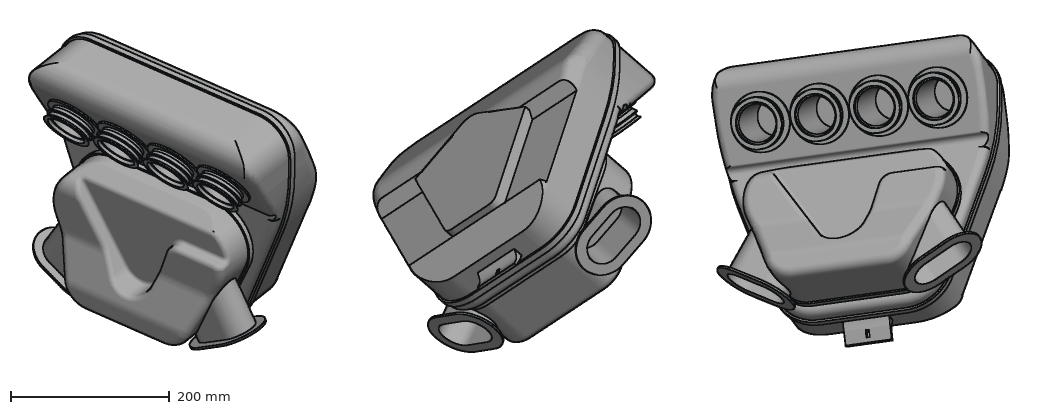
import cadquery as cq
import math


joint_overlap = 5

body_half_width = 178.5
body_top = 368.9
body_bottom = 28.4
top_corner_radius = 46
bottom_corner_radius = 60
side_bend_top = 295
side_bend_bottom = 200.6
side_taper = 20
body_front = -22.8
body_back = 74.0
front_face_tilt = 30
back_face_tilt = 25
back_slope_bottom = 254
bulge_foot = 230
bulge_underside = 245
bulge_nose_radius = 26
bulge_lower_radius = 3
bulge_inner_radius = 7
back_top_radius = 20
back_bend_radius = 60
back_recess = 57.5
back_recess_top = 205
back_recess_slope_top = 220
back_lip_top = 67
back_lip_y = 66
back_bottom_y = 40
front_edge_radius = 10
back_edge_radius = 20

band_overhang = 3
band_thickness = 8.8

pad_back = 74.6
pad_half_width = 92
pad_apex = 264
pad_roof_slope = 31
pad_front = 40
pad_bottom = 70
pad_apex_radius = 27
pad_corner_radius = 13.6

spigot_count = 4
spigot_pitch = 78.2
spigot_center_y = -58.5
spigot_center_z = 289.3
spigot_length = 21.4
spigot_collar_radius = 77 / 2
spigot_collar_thickness = 2.6
spigot_neck_radius = 59.8 / 2
spigot_rim_radius = 66.2 / 2
spigot_ring_position = 11.8
spigot_ring_thickness = 1.2
spigot_rim_taper = 3.5
spigot_mouth_radius = 54 / 2
spigot_mouth_depth = 5.3
spigot_bore_radius = 48.7 / 2
spigot_bore_depth = 95

cover_top = 226.6
cover_bottom = 42
cover_corner_x = 77
cover_top_radius = 57
cover_bottom_radius = 37
cover_side_taper = 22.5
cover_front = -89
cover_chin_front = -113.6
cover_chin_top = 74
cover_chin_start = 129.4
cover_brow_y = -46.8
cover_brow_slope = 30
cover_brow_radius = 26
cover_bend_radius = 28
cover_edge_radius = 11
cover_foot_overhang = 2.4
cover_foot_front = -30.5

pocket_floor = -71.5
pocket_tip = (9.3, 46.7)
pocket_left_angle = 33.3
pocket_right_angle = 17.4
pocket_ledge = 180
pocket_run_out_x = 200
pocket_run_out_z = 260
pocket_front = -130
pocket_tip_radius = 32
pocket_ledge_radius = 20
pocket_edge_radius = 5
pocket_rim_radius = 7

pipe_axis_tilt = 30
pipe_center = (124, -58.7, 56.5)
pipe_width = 88
pipe_depth = 50.7
pipe_length = 80
pipe_wall = 2.3
pipe_bore_depth = 62
pipe_flange_overhang = 12.6
pipe_flange_thickness = 3

tab_width = 61.2
tab_slot_width = 4.2
tab_slot_bottom = 6.2
tab_slot_top = 14.8
tab_slot_run = 100


def tan(degrees):
    return math.tan(math.radians(degrees))


def sin(degrees):
    return math.sin(math.radians(degrees))


def cos(degrees):
    return math.cos(math.radians(degrees))


def extrude_xz(sketch, y_from, y_to):
    """Extrude an outline drawn on the XZ plane between two Y positions."""
    return sketch.extrude(y_from - y_to).translate((0, y_from, 0))


def extrude_yz(points, half_width):
    """Extrude a side profile symmetrically about X = 0."""
    return cq.Workplane("YZ").polyline(points).close().extrude(half_width, both=True)


def round_edges_at(solid, radius, points):
    """Round the edges nearest to the given points."""
    for point in points:
        solid = solid.edges(cq.selectors.NearestToPointSelector(point)).fillet(radius)
    return solid


def housing_outline():
    """Front outline: rounded top, sides bending into a taper, rounded bottom."""
    bend_radius = (side_bend_top - side_bend_bottom) / sin(side_taper)
    bend_end_x = body_half_width - bend_radius * (1 - cos(side_taper))
    bend_mid_x = body_half_width - bend_radius * (1 - cos(side_taper / 2))
    bend_mid_z = side_bend_top - bend_radius * sin(side_taper / 2)
    bottom_x = bend_end_x - (side_bend_bottom - body_bottom) * tan(side_taper)
    reach = bottom_corner_radius * tan((90 - side_taper) / 2)
    arc_end_x = bottom_x - reach
    arc_center_z = body_bottom + bottom_corner_radius
    arc_start = (bottom_x + reach * sin(side_taper), body_bottom + reach * cos(side_taper))
    middle = (90 + side_taper) / 2
    arc_mid = (arc_end_x + bottom_corner_radius * cos(middle), arc_center_z - bottom_corner_radius * sin(middle))
    corner_x = body_half_width - top_corner_radius
    corner_z = body_top - top_corner_radius
    top_mid = (corner_x + top_corner_radius * cos(45), corner_z + top_corner_radius * sin(45))

    def left(point):
        return (-point[0], point[1])

    return (
        cq.Workplane("XZ")
        .moveTo(-corner_x, body_top)
        .lineTo(corner_x, body_top)
        .threePointArc(top_mid, (body_half_width, corner_z))
        .lineTo(body_half_width, side_bend_top)
        .threePointArc((bend_mid_x, bend_mid_z), (bend_end_x, side_bend_bottom))
        .lineTo(*arc_start)
        .threePointArc(arc_mid, (arc_end_x, body_bottom))
        .lineTo(-arc_end_x, body_bottom)
        .threePointArc(left(arc_mid), left(arc_start))
        .lineTo(-bend_end_x, side_bend_bottom)
        .threePointArc((-bend_mid_x, bend_mid_z), (-body_half_width, side_bend_top))
        .lineTo(-body_half_width, corner_z)
        .threePointArc(left(top_mid), (-corner_x, body_top))
        .close()
    )


def front_face_y(z):
    return spigot_center_y - (z - spigot_center_z) * tan(front_face_tilt)


def make_housing():
    """Join three sections with rounded rims, then trim them to the side profile."""
    outline = extrude_xz(housing_outline(), body_back, front_face_y(body_top))
    front_top = (front_face_y(body_top), body_top)
    back_top = (body_back - (body_top - back_slope_bottom) * tan(back_face_tilt), body_top)
    back_bend = (body_back, back_slope_bottom)

    bulge = [(0, body_top), front_top, (front_face_y(bulge_foot), bulge_foot), (0, bulge_foot)]
    upper = extrude_yz(bulge, body_half_width).intersect(outline)
    upper = round_edges_at(upper, front_edge_radius, [(0, *front_top)])

    wall = [(0, body_top), (body_front, body_top), (body_front, body_bottom), (0, body_bottom)]
    lower = extrude_yz(wall, body_half_width).intersect(outline)
    lower = lower.faces("<Y").edges().fillet(front_edge_radius)

    rear = [(0, body_top), back_top, back_bend, (body_back, body_bottom), (0, body_bottom)]
    back = extrude_yz(rear, body_half_width)
    back = round_edges_at(back, back_bend_radius, [(0, *back_bend)]).intersect(outline)
    back = round_edges_at(back, back_edge_radius, [(0, *back_top)])

    inner_corner = (body_front, bulge_underside)
    lower_nose = (front_face_y(bulge_underside), bulge_underside)
    profile = extrude_yz(
        [
            front_top,
            back_top,
            back_bend,
            (body_back, back_recess_slope_top),
            (back_recess, back_recess_top),
            (back_recess, back_lip_top),
            (back_lip_y, back_lip_top),
            (back_bottom_y, body_bottom),
            (body_front, body_bottom),
            inner_corner,
            lower_nose,
        ],
        body_half_width,
    )
    profile = round_edges_at(profile, bulge_nose_radius, [(0, *front_top)])
    profile = round_edges_at(profile, bulge_inner_radius, [(0, *inner_corner)])
    profile = round_edges_at(profile, bulge_lower_radius, [(0, *lower_nose)])
    return upper.union(lower).union(back).intersect(profile)


def make_band():
    rim = housing_outline().offset2D(band_overhang)
    return extrude_xz(rim, band_thickness / 2, -band_thickness / 2)


def make_pad():
    """House-shaped pad on the back, with a rounded ridge, tapered sides and rounded bottom corners."""
    ridge_sharp = pad_apex + pad_apex_radius * (1 / cos(pad_roof_slope) - 1)
    eaves = ridge_sharp - pad_half_width * tan(pad_roof_slope)
    bottom_half_width = pad_half_width - (eaves - pad_bottom) * tan(side_taper)
    outline = cq.Workplane("XZ").polyline(
        [
            (-bottom_half_width, pad_bottom),
            (bottom_half_width, pad_bottom),
            (pad_half_width, eaves),
            (0, ridge_sharp),
            (-pad_half_width, eaves),
        ]
    ).close()
    pad = extrude_xz(outline, pad_back, pad_front)
    middle_y = (pad_back + pad_front) / 2
    pad = round_edges_at(pad, pad_apex_radius, [(0, middle_y, ridge_sharp)])
    corners = [(side * bottom_half_width, middle_y, pad_bottom) for side in (-1, 1)]
    return round_edges_at(pad, pad_corner_radius, corners)


def make_cover_block(y_front, overhang=0):
    """Flat-topped shield with tapered sides and rounded corners, grown outwards by overhang."""
    top = cover_top + overhang
    bottom = cover_bottom - overhang
    top_radius = cover_top_radius + overhang
    center_z = top - top_radius
    side_offset = top_radius + cover_corner_x * cos(cover_side_taper) - center_z * sin(cover_side_taper)
    top_x = (side_offset + top * sin(cover_side_taper)) / cos(cover_side_taper)
    bottom_x = (side_offset + bottom * sin(cover_side_taper)) / cos(cover_side_taper)
    outline = (
        cq.Workplane("XZ")
        .polyline([(-bottom_x, bottom), (bottom_x, bottom), (top_x, top), (-top_x, top)])
        .close()
    )
    block = extrude_xz(outline, body_front + joint_overlap, y_front)
    block = block.edges("|Y and >Z").fillet(top_radius)
    return block.edges("|Y and <Z").fillet(cover_bottom_radius + overhang)


def make_cover():
    """Cover with a sloping brow, a flat middle and a chin that juts forward."""
    block = make_cover_block(cover_chin_front)
    brow_low = cover_top - (cover_brow_y - cover_front) * tan(cover_brow_slope)
    knee = (cover_front, brow_low)
    waist = (cover_front, cover_chin_start)
    chin = (cover_chin_front, cover_chin_top)
    back = body_front + joint_overlap
    profile = extrude_yz(
        [
            (back, cover_top),
            (cover_brow_y, cover_top),
            knee,
            waist,
            chin,
            (cover_chin_front, cover_bottom),
            (back, cover_bottom),
        ],
        body_half_width,
    )
    profile = round_edges_at(profile, cover_brow_radius, [(0, *knee)])
    profile = round_edges_at(profile, cover_bend_radius, [(0, *waist), (0, *chin)])
    cover = block.intersect(profile)
    cover = round_edges_at(cover, cover_edge_radius, [(0, cover_chin_front, cover_bottom)])
    cover = cover.cut(make_pocket())
    brow_rim = (0, pocket_floor, cover_top - (cover_brow_y - pocket_floor) * tan(cover_brow_slope))
    return round_edges_at(cover, pocket_rim_radius, [brow_rim])


def make_cover_foot():
    """Thin step around the cover where it meets the housing wall."""
    return make_cover_block(cover_foot_front, cover_foot_overhang)


def make_pocket():
    """V-shaped cutter whose floor edge and tip are rounded; it runs out at the brow and at +X."""
    tip_x, tip_z = pocket_tip
    left_x = tip_x - (pocket_run_out_z - tip_z) * tan(pocket_left_angle)
    ledge_x = tip_x + (pocket_ledge - tip_z) * tan(pocket_right_angle)
    outline = cq.Workplane("XZ").polyline(
        [
            pocket_tip,
            (ledge_x, pocket_ledge),
            (pocket_run_out_x, pocket_ledge),
            (pocket_run_out_x, pocket_run_out_z),
            (left_x, pocket_run_out_z),
        ]
    ).close()
    cutter = extrude_xz(outline, pocket_floor, pocket_front)
    middle_y = (pocket_floor + pocket_front) / 2
    cutter = round_edges_at(cutter, pocket_tip_radius, [(tip_x, middle_y, tip_z)])
    cutter = round_edges_at(cutter, pocket_ledge_radius, [(ledge_x, middle_y, pocket_ledge)])
    ledge_middle = ((ledge_x + pocket_run_out_x) / 2, pocket_floor, pocket_ledge)
    return round_edges_at(cutter, pocket_edge_radius, [ledge_middle])


def make_spigots():
    """Return the turned spigots and the stepped bores inside them."""
    ring_end = spigot_ring_position + spigot_ring_thickness
    neck_start = spigot_collar_thickness + spigot_rim_taper
    spigot_profile = [
        (0, -joint_overlap),
        (spigot_collar_radius, -joint_overlap),
        (spigot_collar_radius, spigot_collar_thickness),
        (spigot_neck_radius, spigot_collar_thickness),
        (spigot_neck_radius, neck_start),
        (spigot_rim_radius, spigot_ring_position),
        (spigot_rim_radius, ring_end),
        (spigot_neck_radius, ring_end),
        (spigot_neck_radius, spigot_length - spigot_rim_taper),
        (spigot_rim_radius, spigot_length),
        (0, spigot_length),
    ]
    mouth_floor = spigot_length - spigot_mouth_depth
    bore_floor = spigot_length - spigot_bore_depth
    bore_profile = [
        (0, bore_floor),
        (spigot_bore_radius, bore_floor),
        (spigot_bore_radius, mouth_floor),
        (spigot_mouth_radius, mouth_floor),
        (spigot_mouth_radius, spigot_length),
        (0, spigot_length),
    ]
    axis_tilt = 90 + front_face_tilt

    def turned(profile):
        spin = cq.Workplane("XZ").polyline(profile).close().revolve(360, (0, 0, 0), (0, 1, 0))
        return spin.rotate((0, 0, 0), (1, 0, 0), axis_tilt)

    spigots = cq.Workplane("XY")
    bores = cq.Workplane("XY")
    for index in range(spigot_count):
        place = ((index - (spigot_count - 1) / 2) * spigot_pitch, spigot_center_y, spigot_center_z)
        spigots = spigots.add(turned(spigot_profile).translate(place))
        bores = bores.add(turned(bore_profile).translate(place))
    return spigots.combine(), bores.combine()


def make_pipe(side):
    """Return one obround outlet pipe with its flange, and its bore; side is -1 or 1."""

    def obround(length, width, depth):
        bar = cq.Workplane("XY").slot2D(length, width).extrude(depth)
        return bar.rotate((0, 0, 0), (0, 1, 0), -side * pipe_axis_tilt).translate(
            (side * pipe_center[0], pipe_center[1], pipe_center[2])
        )

    flange_growth = 2 * pipe_flange_overhang
    tube = obround(pipe_width, pipe_depth, pipe_length)
    flange = obround(pipe_width + flange_growth, pipe_depth + flange_growth, pipe_flange_thickness)
    bore = obround(pipe_width - 2 * pipe_wall, pipe_depth - 2 * pipe_wall, pipe_bore_depth)
    return tube.union(flange), bore


def make_tab():
    """Slotted sheet tab under the housing, with a flared root."""
    root_z = body_bottom + 1
    profile = (
        cq.Workplane("YZ")
        .moveTo(25.2, 0)
        .lineTo(21, 0)
        .lineTo(14, 17)
        .threePointArc((12.7, 22), (10, root_z))
        .lineTo(26, root_z)
        .threePointArc((21.5, 20), (21.5, 11))
        .close()
    )
    tab = profile.extrude(tab_width / 2, both=True)
    slot_height = tab_slot_top - tab_slot_bottom
    slot = cq.Workplane("XY").box(tab_slot_width, tab_slot_run, slot_height)
    return tab.cut(slot.translate((0, 0, tab_slot_bottom + slot_height / 2)))


spigots, spigot_bores = make_spigots()
result = make_housing().union(make_band()).union(make_pad()).union(make_tab())
result = result.union(make_cover_foot()).union(make_cover()).union(spigots)
for pipe_side in (-1, 1):
    pipe, pipe_bore = make_pipe(pipe_side)
    result = result.union(pipe).cut(pipe_bore)
result = result.cut(spigot_bores)